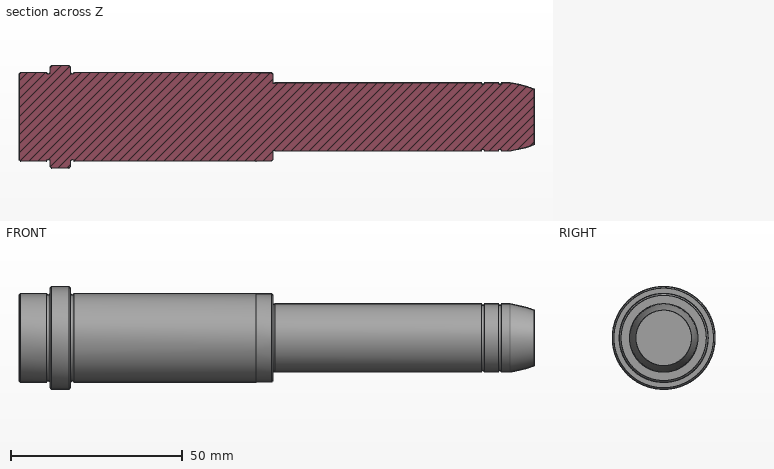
import cadquery as cq
import math

total_length = 150.0
body_diameter = 26.0
collar_diameter = 30.0
pin_diameter = 20.0

collar_start = 9.0
collar_end = 15.0
body_end = 74.0

lead_in_length = 5.0
lead_in_diameter = 25.8

tip_length = 7.0
tip_angle = 15.0
tip_curve_radius = 30.0

edge_chamfer = 0.5
collar_chamfer = 0.5

relief_width = 1.0
relief_depth = 0.5
shoulder_relief_width = 0.5
shoulder_relief_depth = 0.22
ring_groove_starts = [134.5, 139.5]
ring_groove_width = 0.9
ring_groove_depth = 0.5

body_radius = body_diameter / 2
pin_radius = pin_diameter / 2


def cylinder(start, end, diameter):
    """Solid cylinder on the X axis between two x positions."""
    return cq.Workplane("YZ", origin=(start, 0, 0)).circle(diameter / 2).extrude(end - start)


def spin(half_profile):
    """Solid made by turning a closed half profile once around the X axis."""
    return half_profile.close().revolve(360, (0, 0, 0), (1, 0, 0))


def round_groove(start, width, depth, radius):
    """Ring to cut away for a round-bottomed groove in a shaft of the given radius."""
    middle = start + width / 2
    end = start + width
    return spin(
        cq.Workplane("XY")
        .moveTo(start, radius)
        .threePointArc((middle, radius - depth), (end, radius))
        .lineTo(end, radius + depth)
        .lineTo(start, radius + depth)
    )


lead_in_start = body_end - lead_in_length
rear_body = cylinder(0, lead_in_start, body_diameter).faces("<X").chamfer(edge_chamfer)
lead_in = cylinder(lead_in_start, body_end, lead_in_diameter).faces(">X").chamfer(edge_chamfer)
body = rear_body.union(lead_in)

for relief_start in (collar_start - relief_width, collar_end):
    body = body.cut(round_groove(relief_start, relief_width, relief_depth, body_radius))

collar = cylinder(collar_start, collar_end, collar_diameter).edges().chamfer(collar_chamfer)

tip_start = total_length - tip_length
tip_end_radius = pin_radius - tip_length * math.tan(math.radians(tip_angle))
pin = spin(
    cq.Workplane("XY")
    .moveTo(body_end, 0)
    .lineTo(body_end, pin_radius)
    .lineTo(tip_start, pin_radius)
    .radiusArc((total_length, tip_end_radius), tip_curve_radius)
    .lineTo(total_length, 0)
)

pin = pin.cut(round_groove(body_end, shoulder_relief_width, shoulder_relief_depth, pin_radius))

for groove_start in ring_groove_starts:
    pin = pin.cut(round_groove(groove_start, ring_groove_width, ring_groove_depth, pin_radius))

result = body.union(collar).union(pin)